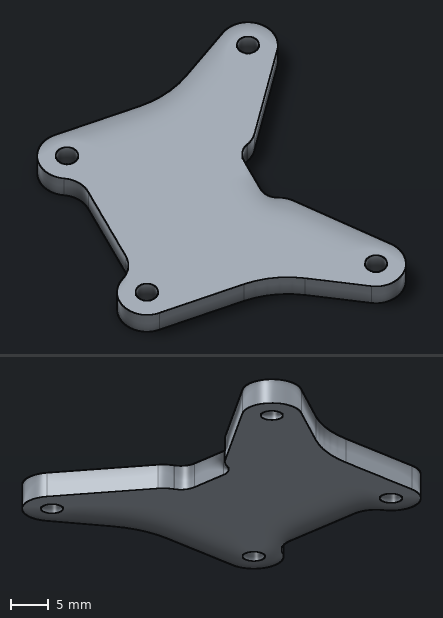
import cadquery as cq
import math

thickness = 3.5
lobe_radius = 4.0
upper_hole_diameter = 2.95
lower_hole_diameter = 3.0
upper_hole_x = 20.85
upper_hole_y = 29.8
lower_hole_x = 13.0
lower_hole_y = 0.0

arm_upper_angle = math.radians(35.7)
arm_lower_angle = math.radians(57.0)
flank_fillet = 14.4

recess_y = 21.1
recess_half_width = 4.35
recess_wall_angle = math.radians(66.0)
recess_fillet = 2.5
shoulder_fillet = 4.0

bottom_fillet = 4.0


def lobe_point(angle):
    """Point on the right upper lobe at an angle from the X axis."""
    return (
        upper_hole_x + lobe_radius * math.cos(angle),
        upper_hole_y + lobe_radius * math.sin(angle),
    )


def meeting_point(first, first_angle, second, second_angle):
    """Crossing of two lines, each given by a point and an angle."""
    dx = second[0] - first[0]
    dy = second[1] - first[1]
    travel = dx * math.sin(second_angle) - dy * math.cos(second_angle)
    travel /= math.sin(second_angle - first_angle)
    return (
        first[0] + travel * math.cos(first_angle),
        first[1] + travel * math.sin(first_angle),
    )


lobe_start_angle = arm_lower_angle - math.pi / 2
lobe_end_angle = arm_upper_angle + math.pi / 2
lobe_start = lobe_point(lobe_start_angle)
lobe_middle = lobe_point((lobe_start_angle + lobe_end_angle) / 2)
lobe_end = lobe_point(lobe_end_angle)

side_x = lower_hole_x + lobe_radius
flank_corner = meeting_point((side_x, lower_hole_y), math.pi / 2, lobe_start, arm_lower_angle)
recess_corner = (recess_half_width, recess_y)
shoulder_corner = meeting_point(recess_corner, recess_wall_angle, lobe_end, arm_upper_angle)

center_distance = lobe_radius + bottom_fillet
fillet_x = lower_hole_x - math.sqrt(center_distance**2 - bottom_fillet**2)
fillet_start = (fillet_x, lower_hole_y)
lobe_share = lobe_radius / center_distance
fillet_end = (
    lower_hole_x - lobe_share * (lower_hole_x - fillet_x),
    lower_hole_y - lobe_share * bottom_fillet,
)
lower_lobe_bottom = (lower_hole_x, lower_hole_y - lobe_radius)
fillet_sweep = math.acos(bottom_fillet / center_distance)
fillet_middle = (
    fillet_x + bottom_fillet * math.sin(fillet_sweep / 2),
    lower_hole_y - bottom_fillet * (1 - math.cos(fillet_sweep / 2)),
)


def round_corner(body, corner, radius):
    """Fillet the vertical edge standing on a corner of the outline."""
    edge = body.edges("|Z").edges(cq.NearestToPointSelector((*corner, thickness / 2)))
    return edge.fillet(radius)


half = (
    cq.Workplane("XY")
    .moveTo(0, lower_hole_y)
    .lineTo(*fillet_start)
    .threePointArc(fillet_middle, fillet_end)
    .threePointArc(lower_lobe_bottom, (side_x, lower_hole_y))
    .lineTo(*flank_corner)
    .lineTo(*lobe_start)
    .threePointArc(lobe_middle, lobe_end)
    .lineTo(*shoulder_corner)
    .lineTo(*recess_corner)
    .lineTo(0, recess_y)
    .close()
    .extrude(thickness)
)
half = round_corner(half, flank_corner, flank_fillet)
half = round_corner(half, shoulder_corner, shoulder_fillet)
half = round_corner(half, recess_corner, recess_fillet)

for hole_x, hole_y, diameter in (
    (upper_hole_x, upper_hole_y, upper_hole_diameter),
    (lower_hole_x, lower_hole_y, lower_hole_diameter),
):
    hole = cq.Workplane("XY").center(hole_x, hole_y).circle(diameter / 2).extrude(thickness)
    half = half.cut(hole)

result = half.union(half.mirror("YZ")).clean()